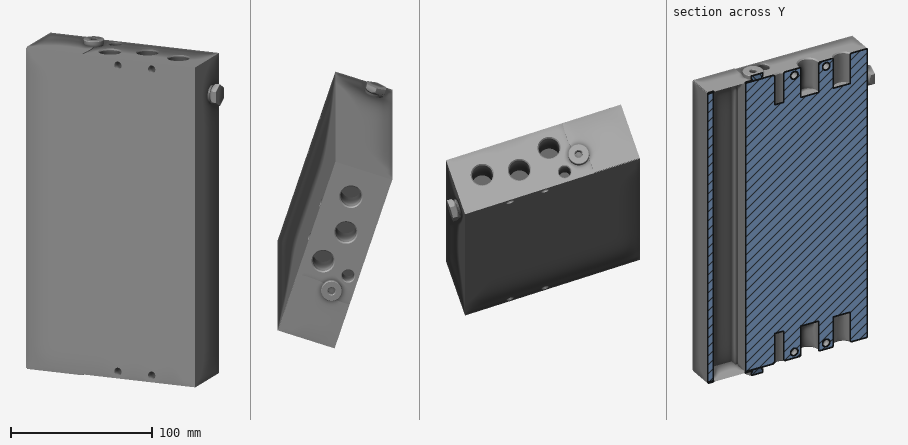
import cadquery as cq
import math

BLOCK_LENGTH = 130.6
BLOCK_DEPTH = 42.5
BLOCK_HEIGHT = 235.0
BLOCK_TOP = BLOCK_HEIGHT / 2

OVERALL_LENGTH = 137.2
OVERALL_HEIGHT = 243.7
SCREW_PROJECTION = (OVERALL_HEIGHT - BLOCK_HEIGHT) / 2
PLUG_PROJECTION = OVERALL_LENGTH - BLOCK_LENGTH

PORT_CENTERS = [(58.5, 14.6), (83.5, 23.5), (109.7, 18.5)]
PORT_DIAMETER = 14.9
PORT_DEPTH = 24.4
PORT_CHAMFER = 0.85
PILOT_CENTER = (53.5, 34.8)
PILOT_DIAMETER = 8.5
PILOT_DEPTH = 14.6
PILOT_CHAMFER = 0.6

MOUNT_DIAMETER = 5.5
MOUNT_X = [71.0, 97.0]
MOUNT_Z = 112.3

CHANNEL_LEFT = 4.9
CHANNEL_STEP = 0.7
UPPER_RIGHT = 31.0
UPPER_BACK = 39.5
UPPER_GROOVE_BACK = 34
UPPER_GROOVE_FRONT = 31.7
UPPER_FRONT = 19.7
NECK_LEFT = 12.0
NECK_RIGHT = 24.0
LOWER_BACK = 16.5
LOWER_RIGHT = 39
LOWER_GROOVE_BACK = 10.2
LOWER_GROOVE_FRONT = 8.8
LOWER_FRONT = 2.5
GROOVE_REACH = 1.5

COVER_THICKNESS = 0.7
COVER_INSET = 0.2
COVER_BACK_RIGHT = 34
COVER_SHOULDER = 19.5
COVER_FRONT_RIGHT = 43.6
COVER_BULGE = 0.7
COVER_CORNER_RADIUS = 1.0
SCREW_CENTER = (40.5, 26.8)
SCREW_DIAMETER = 14.9
SCREW_COLLAR_DIAMETER = 14.0
SCREW_COLLAR_HEIGHT = 1.2
SCREW_CHAMFER = 0.37
SOCKET_ACROSS_CORNERS = 5.5
SOCKET_DEPTH = 3.0
COUNTERSINK_DIAMETER = 6.0
COUNTERSINK_DEPTH = 0.5

PLUG_Y = 28.5
PLUG_Z = 90.7
PLUG_ACROSS_FLATS = 14.0
PLUG_ACROSS_CORNERS = PLUG_ACROSS_FLATS / math.cos(math.pi / 6)
PLUG_COLLAR_DIAMETER = 13.5
PLUG_COLLAR_LENGTH = 1.5
PLUG_CHAMFER_DIAMETER = 12.2


def end_hole(center, diameter, depth, chamfer):
    """Cutter for a blind hole in the top face, with a chamfered mouth."""
    floor = cq.Workplane("XY", origin=(*center, BLOCK_TOP - depth))
    drill = floor.circle(diameter / 2).extrude(depth)
    mouth = (
        cq.Workplane("XY", origin=(*center, BLOCK_TOP))
        .circle(diameter / 2 + chamfer)
        .extrude(-chamfer, taper=45)
    )
    return drill.union(mouth)


def channel():
    """Cutter for two card chambers joined by a neck, with card grooves in their sides."""
    left = CHANNEL_LEFT + CHANNEL_STEP
    groove_left = left - GROOVE_REACH
    upper_back_right = UPPER_RIGHT - CHANNEL_STEP
    outline = [
        (left, UPPER_BACK),
        (upper_back_right, UPPER_BACK),
        (upper_back_right, UPPER_GROOVE_BACK),
        (upper_back_right + GROOVE_REACH, UPPER_GROOVE_BACK),
        (upper_back_right + GROOVE_REACH, UPPER_GROOVE_FRONT),
        (UPPER_RIGHT, UPPER_GROOVE_FRONT),
        (UPPER_RIGHT, UPPER_FRONT),
        (NECK_RIGHT, UPPER_FRONT),
        (NECK_RIGHT, LOWER_BACK),
        (LOWER_RIGHT, LOWER_BACK),
        (LOWER_RIGHT, LOWER_GROOVE_BACK),
        (LOWER_RIGHT + GROOVE_REACH, LOWER_GROOVE_BACK),
        (LOWER_RIGHT + GROOVE_REACH, LOWER_GROOVE_FRONT),
        (LOWER_RIGHT, LOWER_GROOVE_FRONT),
        (LOWER_RIGHT, LOWER_FRONT),
        (left, LOWER_FRONT),
        (left, LOWER_GROOVE_FRONT),
        (groove_left, LOWER_GROOVE_FRONT),
        (groove_left, LOWER_GROOVE_BACK),
        (CHANNEL_LEFT, LOWER_GROOVE_BACK),
        (CHANNEL_LEFT, LOWER_BACK),
        (NECK_LEFT, LOWER_BACK),
        (NECK_LEFT, UPPER_FRONT),
        (CHANNEL_LEFT, UPPER_FRONT),
        (CHANNEL_LEFT, UPPER_GROOVE_FRONT),
        (groove_left, UPPER_GROOVE_FRONT),
        (groove_left, UPPER_GROOVE_BACK),
        (left, UPPER_GROOVE_BACK),
    ]
    return cq.Workplane("XY").polyline(outline).close().extrude(BLOCK_HEIGHT / 2, both=True)


def make_block():
    block = cq.Workplane("XY").box(BLOCK_LENGTH, BLOCK_DEPTH, BLOCK_HEIGHT, centered=(False, False, True))
    block = block.cut(channel())
    holes = [end_hole(center, PORT_DIAMETER, PORT_DEPTH, PORT_CHAMFER) for center in PORT_CENTERS]
    holes.append(end_hole(PILOT_CENTER, PILOT_DIAMETER, PILOT_DEPTH, PILOT_CHAMFER))
    for hole in holes:
        block = block.cut(hole).cut(hole.mirror("XY"))
    mount_points = [(x, z) for x in MOUNT_X for z in (-MOUNT_Z, MOUNT_Z)]
    mounts = cq.Workplane("XZ").pushPoints(mount_points).circle(MOUNT_DIAMETER / 2).extrude(-BLOCK_DEPTH)
    return block.cut(mounts)


def make_cover():
    """Top end cover: a thin plate with the captive screw head on it."""
    back = BLOCK_DEPTH - COVER_INSET
    plate = (
        cq.Workplane("XY", origin=(0, 0, BLOCK_TOP))
        .moveTo(COVER_INSET, COVER_INSET)
        .lineTo(COVER_FRONT_RIGHT, COVER_INSET)
        .threePointArc(
            (COVER_FRONT_RIGHT + COVER_BULGE, (COVER_INSET + COVER_SHOULDER) / 2),
            (COVER_FRONT_RIGHT, COVER_SHOULDER),
        )
        .lineTo(*SCREW_CENTER)
        .lineTo(COVER_BACK_RIGHT, SCREW_CENTER[1])
        .lineTo(COVER_BACK_RIGHT, back)
        .lineTo(COVER_INSET, back)
        .close()
        .extrude(COVER_THICKNESS)
        .edges("|Z and <Y")
        .fillet(COVER_CORNER_RADIUS)
    )
    screw = (
        cq.Workplane("XY", origin=(*SCREW_CENTER, BLOCK_TOP))
        .circle(SCREW_COLLAR_DIAMETER / 2)
        .extrude(SCREW_COLLAR_HEIGHT)
        .faces(">Z")
        .workplane()
        .circle(SCREW_DIAMETER / 2)
        .extrude(SCREW_PROJECTION - SCREW_COLLAR_HEIGHT)
        .faces(">Z")
        .edges()
        .chamfer(SCREW_CHAMFER)
    )
    head_top = cq.Workplane("XY", origin=(*SCREW_CENTER, BLOCK_TOP + SCREW_PROJECTION))
    socket = (
        head_top.transformed(rotate=(0, 0, 90))
        .polygon(6, SOCKET_ACROSS_CORNERS)
        .extrude(-SOCKET_DEPTH)
    )
    countersink = head_top.circle(COUNTERSINK_DIAMETER / 2).extrude(-COUNTERSINK_DEPTH, taper=45)
    return plate.union(screw).cut(socket).cut(countersink)


def make_plug():
    """Hexagon plug: a round collar against the block, then a hexagon chamfered on the collar side."""
    face = cq.Workplane("YZ", origin=(BLOCK_LENGTH, PLUG_Y, PLUG_Z))
    collar = face.circle(PLUG_COLLAR_DIAMETER / 2).extrude(PLUG_COLLAR_LENGTH)
    hexagon = (
        face.workplane(offset=PLUG_COLLAR_LENGTH)
        .transformed(rotate=(0, 0, 90))
        .polygon(6, PLUG_ACROSS_CORNERS)
        .extrude(PLUG_PROJECTION - PLUG_COLLAR_LENGTH)
    )
    cone = (
        face.workplane(offset=PLUG_COLLAR_LENGTH)
        .circle(PLUG_CHAMFER_DIAMETER / 2)
        .extrude(PLUG_PROJECTION - PLUG_COLLAR_LENGTH, taper=-45)
    )
    return collar.union(hexagon.intersect(cone))


block = make_block()
top_cover = make_cover()
bottom_cover = top_cover.mirror("XY")
plug = make_plug()

result = cq.Compound.makeCompound([block.val(), top_cover.val(), bottom_cover.val(), plug.val()])